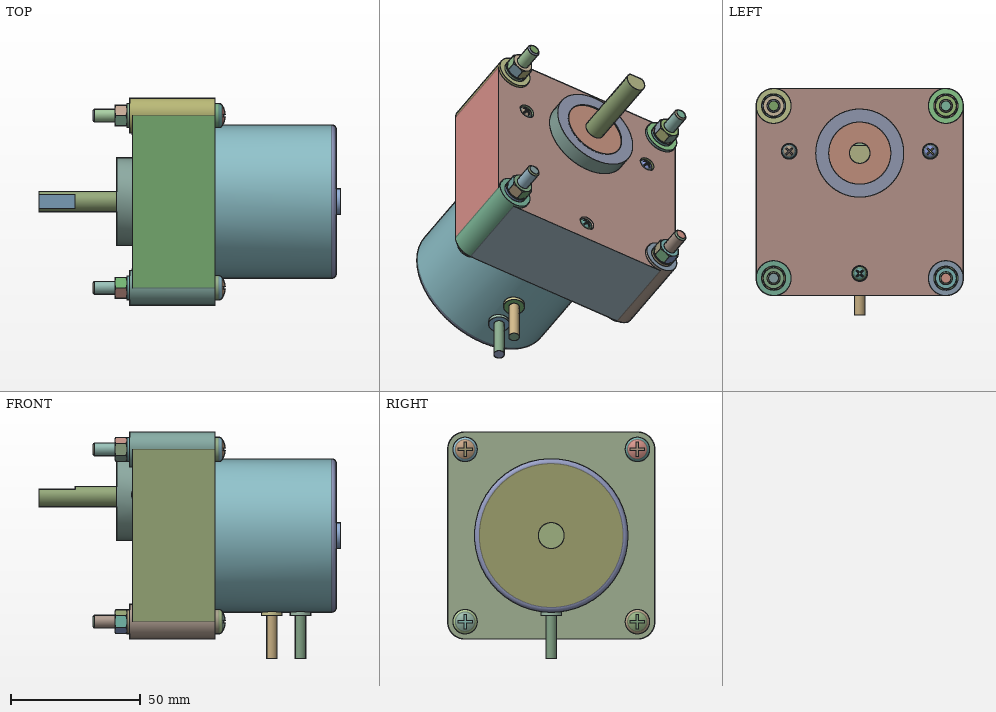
import cadquery as cq
import math


box_side = 80.0
box_depth = 31.9
corner_radius = 6.8
lug_height = 1.0
bolt_offset = box_side / 2 - corner_radius

shaft_z = 15.0
boss_diameter = 34.0
boss_height = 6.0
recess_diameter = 24.0
recess_depth = 0.5
shaft_diameter = 7.9
shaft_length = 30.0
flat_length = 14.0
flat_depth = 1.0

motor_diameter = 59.3
motor_length = 46.8
motor_edge_radius = 1.9
bearing_diameter = 10.0
bearing_height = 1.6

lead_diameter = 4.1
lead_drop = 7.5
lead_first_x = box_depth + 21.9
lead_spacing = 11.1
grommet_diameter = 8.0
grommet_height = 1.3

bolt_diameter = 5.0
bolt_chamfer = 0.6
bolt_end_length = 8.5
bolt_head_diameter = 9.4
washer_diameter = 9.3
washer_thickness = 1.0
nut_height = 4.7
nut_flats = 8.0
nut_corners = nut_flats / math.cos(math.pi / 6)
nut_bevel = 0.3

screw_circle_radius = 31.5
screw_angles = (30, 150, 270)
screw_hole_diameter = 6.0
screw_head_diameter = 5.5
screw_projection = 0.3

head_height_ratio = 0.42
rim_height_ratio = 0.15
shoulder_height_ratio = 0.3
shoulder_radius_ratio = 0.4
cross_length_ratio = 0.6
cross_width_ratio = 0.1
cross_depth_ratio = 0.2


def rod(diameter, x_start, length, y=0, z=0):
    """Cylinder along +X from x_start."""
    plane = cq.Workplane("YZ", origin=(x_start, y, z))
    return plane.circle(diameter / 2).extrude(length)


def pan_head(diameter):
    """Domed head rising along +X from a seat at the origin, its cross slots along Y and Z."""
    height = head_height_ratio * diameter
    shoulder_x = shoulder_height_ratio * diameter
    shoulder_radius = shoulder_radius_ratio * diameter
    dome_rise = height - shoulder_x
    dome_radius = (shoulder_radius**2 + dome_rise**2) / (2 * dome_rise)
    head = (
        cq.Workplane("XY")
        .lineTo(0, diameter / 2)
        .lineTo(rim_height_ratio * diameter, diameter / 2)
        .tangentArcPoint((shoulder_x, shoulder_radius), relative=False)
        .radiusArc((height, 0), dome_radius)
        .close()
        .revolve(360, (0, 0, 0), (1, 0, 0))
    )
    slot_length = cross_length_ratio * diameter
    slot_width = cross_width_ratio * diameter
    slot_plane = cq.Workplane("YZ", origin=(height, 0, 0))
    for size in ((slot_length, slot_width), (slot_width, slot_length)):
        head = head.cut(slot_plane.rect(*size).extrude(-cross_depth_ratio * diameter))
    return head


def gearbox():
    """Block whose rounded corners are posts that stand forward of the front face as bolt lugs."""
    inner_side = 2 * bolt_offset
    block_plane = cq.Workplane("YZ")
    block = block_plane.rect(box_side, inner_side).extrude(box_depth)
    block = block.union(block_plane.rect(inner_side, box_side).extrude(box_depth))
    for y in (-bolt_offset, bolt_offset):
        for z in (-bolt_offset, bolt_offset):
            block = block.union(rod(2 * corner_radius, -lug_height, lug_height + box_depth, y, z))
    return block


def output_shaft():
    boss = rod(boss_diameter, -boss_height, boss_height, z=shaft_z)
    boss = boss.cut(rod(recess_diameter, -boss_height, recess_depth, z=shaft_z))
    tip_x = -boss_height - shaft_length
    shaft = rod(shaft_diameter, tip_x, -tip_x, z=shaft_z)
    flat_z = shaft_z + shaft_diameter / 2 - flat_depth
    flat_cut = (
        cq.Workplane("XY", origin=(tip_x, 0, flat_z))
        .box(flat_length, shaft_diameter, shaft_diameter, centered=(False, True, False))
    )
    return boss.union(shaft.cut(flat_cut))


def motor():
    can = rod(motor_diameter, box_depth, motor_length).faces(">X").edges().fillet(motor_edge_radius)
    return can.union(rod(bearing_diameter, box_depth + motor_length, bearing_height))


def lead(x):
    """Wire with its grommet, hanging from inside the motor."""
    motor_bottom = motor_diameter / 2
    plane = cq.Workplane("XY", origin=(x, 0, -motor_bottom / 2))
    grommet = plane.circle(grommet_diameter / 2).extrude(-motor_bottom / 2 - grommet_height)
    wire_length = box_side / 2 + lead_drop - motor_bottom / 2
    return grommet.union(plane.circle(lead_diameter / 2).extrude(-wire_length))


def bolt_set():
    """Corner bolt with its washer, nut and rear head, on the X axis."""
    washer_x = -lug_height - washer_thickness
    nut_x = washer_x - nut_height
    tip_x = nut_x - bolt_end_length
    nut_bevel_width = (nut_corners - nut_flats) / 2
    nut_envelope = rod(nut_corners, nut_x, nut_height)
    nut_envelope = nut_envelope.faces("<X or >X").chamfer(nut_bevel, nut_bevel_width)
    nut = (
        cq.Workplane("YZ", origin=(nut_x, 0, 0))
        .transformed(rotate=(0, 0, 90))
        .polygon(6, nut_corners)
        .extrude(nut_height)
        .intersect(nut_envelope)
    )
    shank = rod(bolt_diameter, tip_x, box_depth - tip_x).faces("<X").chamfer(bolt_chamfer)
    washer = rod(washer_diameter, washer_x, washer_thickness)
    head = pan_head(bolt_head_diameter).translate((box_depth, 0, 0))
    return shank.union(washer).union(nut).union(head)


result = gearbox().union(output_shaft()).union(motor())

for lead_x in (lead_first_x, lead_first_x + lead_spacing):
    result = result.union(lead(lead_x))

corner_bolt = bolt_set()
for bolt_y in (-bolt_offset, bolt_offset):
    for bolt_z in (-bolt_offset, bolt_offset):
        result = result.union(corner_bolt.translate((0, bolt_y, bolt_z)))

screw_hole_depth = head_height_ratio * screw_head_diameter - screw_projection
cover_screw = pan_head(screw_head_diameter).rotate((0, 0, 0), (1, 0, 0), 45)
cover_screw = cover_screw.rotate((0, 0, 0), (0, 0, 1), 180)
for angle in screw_angles:
    screw_y = screw_circle_radius * math.cos(math.radians(angle))
    screw_z = screw_circle_radius * math.sin(math.radians(angle))
    result = result.cut(rod(screw_hole_diameter, 0, screw_hole_depth, screw_y, screw_z))
    result = result.union(cover_screw.translate((screw_hole_depth, screw_y, screw_z)))